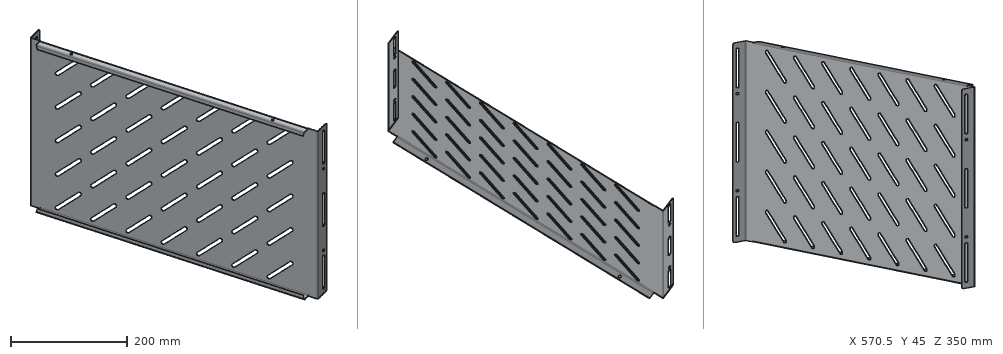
import cadquery as cq
width = 570.5
depth = 45.0
height = 350.0

sheet = 1.2
bend_radius = 1.55
inner_radius = bend_radius - sheet

front_flange_depth = 13.5
front_flange_width = 532.0
lip_height = 9.0
lip_end_taper = 2.0
side_corner_radius = 4.0

slot_length = 69.5
slot_width = 7.0
slot_span = 420.0
slot_columns = 7
slot_rows = 5
slot_angle = 45
slot_pitch = slot_span / (slot_columns - 1)
side_slot_count = 3
side_slot_pitch = 130.0
small_slot_count = 2
small_slot_pitch = 170.0
small_slot_length = 5.5
small_slot_width = 3.5
side_row_inset = 11.0
flange_hole_diameter = 4.5
flange_hole_count = 2
flange_hole_pitch = 400.0
flange_hole_inset = 7.0

panel_front = 0
panel_back = panel_front + sheet
lip_front = panel_front - front_flange_depth
flange_back = lip_front + depth
half_width = width / 2
half_height = height / 2


def bent_channel(length, outer_width, leg):
    """Channel along X with its web on top (+Z) and two legs of size `leg` hanging down."""
    outer = (
        cq.Workplane("XY")
        .box(length, outer_width, leg, centered=(True, True, False))
        .edges("|X and >Z")
        .fillet(bend_radius)
    )
    inner = (
        cq.Workplane("XY")
        .box(length, outer_width - 2 * sheet, leg - sheet, centered=(True, True, False))
        .edges("|X and >Z")
        .fillet(inner_radius)
    )
    return outer.cut(inner)


def make_panel_with_sides():
    """Flat panel with both side flanges, notched where the top and bottom bends start."""
    body = (
        bent_channel(height, width, flange_back)
        .rotate((0, 0, 0), (0, 0, 1), 90)
        .rotate((0, 0, 0), (1, 0, 0), 90)
        .translate((0, flange_back, 0))
    )
    body = body.edges("|X and >Y").fillet(side_corner_radius)
    for side in (1, -1):
        notch = cq.Workplane("XY").box(front_flange_width, 2 * sheet, 2 * bend_radius)
        body = body.cut(notch.translate((0, panel_front + sheet / 2, side * half_height)))
    return body


def make_top_flange():
    """Top flange bent forward from the panel, with its tapered lip and two round holes."""
    lip_bottom = half_height - lip_height
    flange_depth = panel_back - lip_front
    flange_middle = (panel_back + lip_front) / 2
    flange = bent_channel(front_flange_width, flange_depth, lip_height)
    flange = flange.translate((0, flange_middle, lip_bottom))

    half_flange = front_flange_width / 2
    for side in (1, -1):
        lip_end_waste = (
            cq.Workplane("XZ", origin=(0, lip_front + bend_radius, 0))
            .moveTo(side * half_flange, half_height)
            .lineTo(side * half_flange, lip_bottom)
            .lineTo(side * (half_flange - lip_end_taper), lip_bottom)
            .close()
            .extrude(bend_radius)
        )
        flange = flange.cut(lip_end_waste)

    holes = (
        cq.Workplane("XY", origin=(0, lip_front + flange_hole_inset, lip_bottom))
        .rarray(flange_hole_pitch, 5.5, flange_hole_count, 1)
        .circle(flange_hole_diameter / 2)
        .extrude(lip_height)
    )
    return flange.cut(holes)


def make_panel_slots():
    """Grid of slanted slots through the panel."""
    return (
        cq.Workplane("XZ", origin=(0, panel_back, 0))
        .rarray(slot_pitch, slot_pitch, slot_columns, slot_rows)
        .slot2D(slot_length, slot_width, slot_angle)
        .extrude(sheet)
    )


def make_side_openings():
    """Three long slots and two small slots passing through both side flanges."""
    row = cq.Workplane("YZ", origin=(-half_width, flange_back - side_row_inset, 0))
    long_slots = (
        row.rarray(5.5, side_slot_pitch, 1, side_slot_count)
        .slot2D(slot_length, slot_width, 90)
        .extrude(width)
    )
    small_slots = (
        row.rarray(5.5, small_slot_pitch, 1, small_slot_count)
        .slot2D(small_slot_length, small_slot_width)
        .extrude(width)
    )
    return long_slots.union(small_slots)


top_flange = make_top_flange()
bottom_flange = top_flange.mirror("XY")

shelf = make_panel_with_sides().union(top_flange).union(bottom_flange)
result = shelf.cut(make_panel_slots()).cut(make_side_openings())